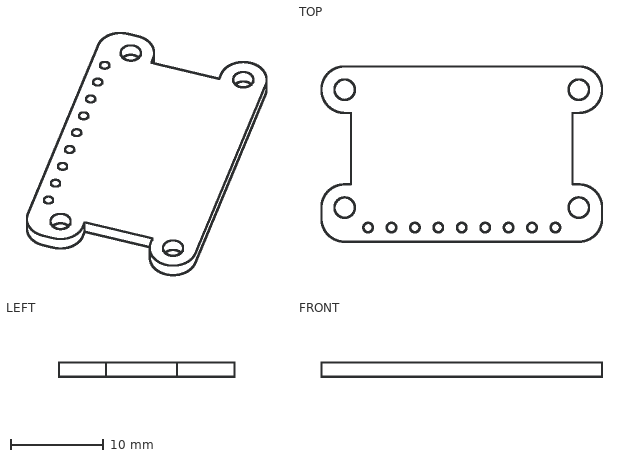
import cadquery as cq

length = 30.48
width = 19.05
thickness = 1.6
pitch = length / 12
corner_radius = pitch
waist_inset = 3.2
mount_diameter = 2.2
front_mount_edge_distance = 3.72
pin_diameter = 1.0
pin_count = 9
pin_edge_distance = 1.55

half_length = length / 2
half_width = width / 2
mount_x = half_length - corner_radius
rear_mount_y = half_width - corner_radius
front_mount_y = -half_width + front_mount_edge_distance
front_arc_y = -half_width + corner_radius
waist_x = half_length - waist_inset
pin_y = -half_width + pin_edge_distance


def make_board():
    """Plate with rounded mounting ears and a recess in each short side."""
    rear_recess_y = rear_mount_y - corner_radius
    front_recess_y = front_mount_y + corner_radius
    return (
        cq.Workplane("XY")
        .moveTo(-mount_x, -half_width)
        .lineTo(mount_x, -half_width)
        .radiusArc((half_length, front_arc_y), -corner_radius)
        .lineTo(half_length, front_mount_y)
        .radiusArc((mount_x, front_recess_y), -corner_radius)
        .lineTo(waist_x, front_recess_y)
        .lineTo(waist_x, rear_recess_y)
        .lineTo(mount_x, rear_recess_y)
        .radiusArc((half_length, rear_mount_y), -corner_radius)
        .radiusArc((mount_x, half_width), -corner_radius)
        .lineTo(-mount_x, half_width)
        .radiusArc((-half_length, rear_mount_y), -corner_radius)
        .radiusArc((-mount_x, rear_recess_y), -corner_radius)
        .lineTo(-waist_x, rear_recess_y)
        .lineTo(-waist_x, front_recess_y)
        .lineTo(-mount_x, front_recess_y)
        .radiusArc((-half_length, front_mount_y), -corner_radius)
        .lineTo(-half_length, front_arc_y)
        .radiusArc((-mount_x, -half_width), -corner_radius)
        .close()
        .extrude(thickness)
    )


def drill(board, centers, diameter):
    """Cut round through holes at the given XY centres."""
    holes = cq.Workplane("XY").pushPoints(centers).circle(diameter / 2).extrude(thickness)
    return board.cut(holes)


mount_centers = [(x, y) for x in (-mount_x, mount_x) for y in (front_mount_y, rear_mount_y)]
first_pin_x = -pitch * (pin_count - 1) / 2
pin_centers = [(first_pin_x + i * pitch, pin_y) for i in range(pin_count)]

result = make_board()
result = drill(result, mount_centers, mount_diameter)
result = drill(result, pin_centers, pin_diameter)